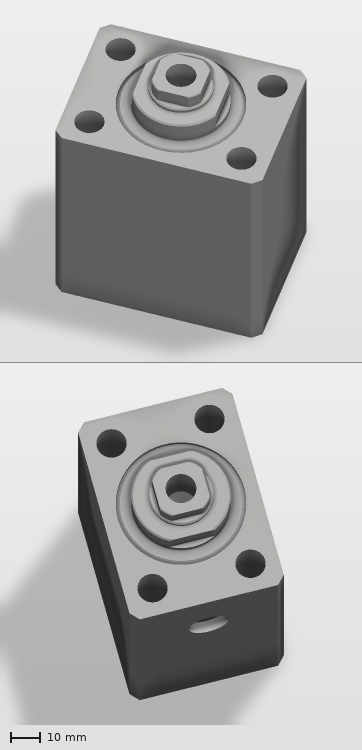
import cadquery as cq

BLOCK_X = 75.0
BLOCK_Y = 55.0
BLOCK_TOP = 80.0
CORNER_CUT_X = 3.1
CORNER_CUT_Y = 2.8

BOLT_HOLE_DIAMETER = 10.4
BOLT_SPACING_X = 55.0
BOLT_SPACING_Y = 34.9

PORT_Z = 58.0
PORT_DIAMETER = 14.0
PORT_DEPTH = 4.0
OIL_HOLE_DIAMETER = 4.0

GLAND_DIAMETER = 45.0
GLAND_DEPTH = 28.5
GLAND_CHAMFER = 1.4
COLLAR_DIAMETER = 34.2
COLLAR_TOP = 88.1
COLLAR_CHAMFER = 0.6
COLLAR_BASE_FILLET = 0.4
GLAND_FLAT_WIDTH = 30.2
GLAND_FLAT_BOTTOM = 81.9

ROD_DIAMETER = 22.4
ROD_SHOULDER_Z = 89.7
ROD_SHOULDER_CHAMFER = 0.6
ROD_TOP = 94.9
HEAD_WIDTH = 17.7
HEAD_CORNER_DIAMETER = 20.9
HEAD_CHAMFER = 0.4
TAP_HOLE_DIAMETER = 10.6
TAP_HOLE_DEPTH = 17.1
TAP_TIP_DEPTH = 3.0

BORE_FLOOR = BLOCK_TOP - GLAND_DEPTH


def cylinder(diameter, bottom, top):
    """An upright cylinder on the Z axis."""
    return cq.Workplane("XY").workplane(offset=bottom).circle(diameter / 2).extrude(top - bottom)


def port_cut(diameter, depth):
    """A round cut that runs from the -X face into the block."""
    face = cq.Workplane("YZ", origin=(-BLOCK_X / 2, 0, PORT_Z))
    return face.circle(diameter / 2).extrude(depth)


def make_housing():
    half_x = BLOCK_X / 2
    half_y = BLOCK_Y / 2
    outline = [
        (half_x - CORNER_CUT_X, -half_y),
        (half_x, -half_y + CORNER_CUT_Y),
        (half_x, half_y - CORNER_CUT_Y),
        (half_x - CORNER_CUT_X, half_y),
        (-half_x + CORNER_CUT_X, half_y),
        (-half_x, half_y - CORNER_CUT_Y),
        (-half_x, -half_y + CORNER_CUT_Y),
        (-half_x + CORNER_CUT_X, -half_y),
    ]
    block = cq.Workplane("XY").polyline(outline).close().extrude(BLOCK_TOP)
    bolt_holes = (
        cq.Workplane("XY")
        .rarray(BOLT_SPACING_X, BOLT_SPACING_Y, 2, 2)
        .circle(BOLT_HOLE_DIAMETER / 2)
        .extrude(BLOCK_TOP)
    )
    block = block.cut(bolt_holes)
    block = block.cut(cylinder(GLAND_DIAMETER, BORE_FLOOR, BLOCK_TOP))
    block = block.cut(port_cut(PORT_DIAMETER, PORT_DEPTH))
    return block.cut(port_cut(OIL_HOLE_DIAMETER, BLOCK_X / 2))


def make_gland():
    plate = cylinder(GLAND_DIAMETER, BORE_FLOOR, BLOCK_TOP)
    plate = plate.faces(">Z").chamfer(GLAND_CHAMFER)
    collar = cylinder(COLLAR_DIAMETER, BLOCK_TOP, COLLAR_TOP)
    collar = collar.faces(">Z").chamfer(COLLAR_CHAMFER)
    gland = plate.union(collar)
    ring = gland.faces(cq.selectors.NearestToPointSelector((0, 0, BLOCK_TOP)))
    gland = ring.edges(cq.selectors.RadiusNthSelector(0)).fillet(COLLAR_BASE_FILLET)
    for side in (-1, 1):
        beyond_flat = (
            cq.Workplane("XY", origin=(0, 0, GLAND_FLAT_BOTTOM))
            .center(side * (GLAND_FLAT_WIDTH + COLLAR_DIAMETER) / 2, 0)
            .rect(COLLAR_DIAMETER, COLLAR_DIAMETER)
            .extrude(COLLAR_TOP - GLAND_FLAT_BOTTOM)
        )
        gland = gland.cut(beyond_flat)
    return gland.cut(cylinder(ROD_DIAMETER, BORE_FLOOR, COLLAR_TOP))


def make_rod():
    shaft = cylinder(ROD_DIAMETER, BORE_FLOOR, ROD_SHOULDER_Z)
    shaft = shaft.faces(">Z").chamfer(ROD_SHOULDER_CHAMFER)
    head = cylinder(HEAD_CORNER_DIAMETER, ROD_SHOULDER_Z, ROD_TOP)
    head = head.faces(">Z").chamfer(HEAD_CHAMFER)
    square = (
        cq.Workplane("XY", origin=(0, 0, ROD_SHOULDER_Z))
        .rect(HEAD_WIDTH, HEAD_WIDTH)
        .extrude(ROD_TOP - ROD_SHOULDER_Z)
    )
    rod = shaft.union(head.intersect(square))
    tap_drill = (
        cq.Workplane("XZ")
        .moveTo(0, ROD_TOP)
        .lineTo(TAP_HOLE_DIAMETER / 2, ROD_TOP)
        .lineTo(TAP_HOLE_DIAMETER / 2, ROD_TOP - TAP_HOLE_DEPTH)
        .lineTo(0, ROD_TOP - TAP_HOLE_DEPTH - TAP_TIP_DEPTH)
        .close()
        .revolve(360, (0, 0), (0, 1))
    )
    return rod.cut(tap_drill)


housing = make_housing()
gland = make_gland()
rod = make_rod()

result = cq.Compound.makeCompound([housing.val(), gland.val(), rod.val()])